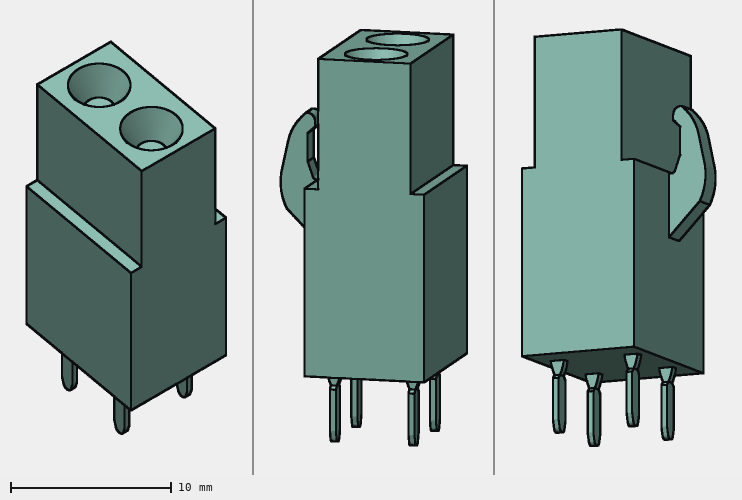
import cadquery as cq
import math


housing_width = 10.17
housing_depth = 7.75
base_height = 11.93
upper_depth = 6.0
upper_height = 8.3
back_face = housing_depth / 2
top_face = base_height + upper_height

pole_count = 2
pitch = housing_width / pole_count
funnel_mouth_diameter = 3.9
funnel_floor_diameter = 1.95
funnel_depth = 2.0
funnel_center_y = -0.07

latch_width = 1.48
latch_center_x = -0.77
latch_reach = 2.52
latch_gap = 0.77
latch_tip_gap = 0.3
latch_root_drop = 4.13
latch_notch_drop = 0.07

overall_height = 24.75
pin_length = overall_height - top_face
pin_thickness = 0.4
blade_width = 1.01
neck_width = 0.55
neck_height = 0.92
neck_top_depth = 0.92
neck_bulge = 0.62
pin_center_y = 0.05
blade_shoulder = (blade_width - neck_width) / 2
tip_taper_length = 0.75
tip_taper_angle = 17.0
tip_radius = 0.35


def pole_positions():
    """Evenly pitched positions, centred on zero."""
    return [(i - (pole_count - 1) / 2) * pitch for i in range(pole_count)]


def make_funnel(x):
    """Conical wire entry, narrowing from the top face to a flat floor."""
    cone = cq.Solid.makeCone(
        funnel_mouth_diameter / 2, funnel_floor_diameter / 2, funnel_depth,
        pnt=cq.Vector(x, funnel_center_y, top_face), dir=cq.Vector(0, 0, -1),
    )
    return cq.Workplane(obj=cone)


def make_latch():
    """Hook that rises from the back face, bulges outward and curls in at its tip."""
    outline = (
        cq.Workplane("YZ", origin=(latch_center_x, back_face, base_height))
        .moveTo(0, -latch_root_drop)
        .lineTo(2.13, -2.0)
        .threePointArc((latch_reach, -0.55), (2.48, 0.3))
        .lineTo(2.05, 2.23)
        .threePointArc((1.75, 3.07), (1.21, 3.8))
        .lineTo(0.9, 4.13)
        .threePointArc((0.52, 4.05), (latch_tip_gap, 3.65))
        .lineTo(latch_tip_gap, 3.27)
        .lineTo(latch_gap, 2.85)
        .lineTo(latch_gap, 1.05)
        .lineTo(0.45, 0.15)
        .threePointArc((0.37, 0.0), (0.2, -latch_notch_drop))
        .lineTo(0, -latch_notch_drop)
        .close()
    )
    return outline.extrude(latch_width / 2, both=True)


def make_housing():
    """Stepped block that carries the latch and the wire funnels."""
    base = cq.Workplane("XY").box(housing_width, housing_depth, base_height, centered=(True, True, False))
    upper = cq.Workplane("XY").box(housing_width, upper_depth, top_face, centered=(True, True, False))
    body = base.union(upper).union(make_latch())
    for x in pole_positions():
        body = body.cut(make_funnel(x))
    return body


def make_neck():
    """Neck under the housing, bulging from the blade thickness up to a wider root."""
    bottom = pin_thickness / 2
    top = neck_top_depth / 2
    bulge_y = bottom + neck_bulge * (top - bottom)
    outline = (
        cq.Workplane("YZ")
        .moveTo(-top, 0)
        .lineTo(top, 0)
        .threePointArc((bulge_y, -neck_height / 2), (bottom, -neck_height))
        .lineTo(-bottom, -neck_height)
        .threePointArc((-bulge_y, -neck_height / 2), (-top, 0))
        .close()
    )
    return outline.extrude(neck_width / 2, both=True)


def make_blade():
    """Flat blade with sloped shoulders and a tapered, rounded tip."""
    half = blade_width / 2
    tip_half = half - tip_taper_length * math.tan(math.radians(tip_taper_angle))
    outline = (
        cq.Workplane("XZ")
        .polyline([
            (-neck_width / 2, -neck_height),
            (neck_width / 2, -neck_height),
            (half, -neck_height - blade_shoulder),
            (half, -pin_length + tip_taper_length),
            (tip_half, -pin_length),
            (-tip_half, -pin_length),
            (-half, -pin_length + tip_taper_length),
            (-half, -neck_height - blade_shoulder),
        ])
        .close()
    )
    blade = outline.extrude(pin_thickness / 2, both=True)
    return blade.faces("<Z").edges("|Y").fillet(tip_radius)


def make_pin(x, y):
    """One solder pin, hanging from the underside of the housing."""
    return make_neck().union(make_blade()).translate((x, pin_center_y + y, 0))


housing = make_housing()
pins = [make_pin(x, y) for x in pole_positions() for y in pole_positions()]

result = cq.Compound.makeCompound([housing.val(), *[pin.val() for pin in pins]])